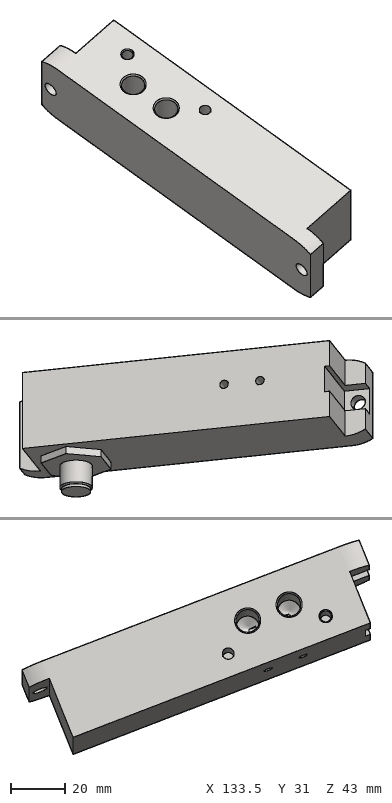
import cadquery as cq
import math

length = 133.5
depth = 31.0
height = 30.0
half_length = length / 2
half_height = height / 2

left_tab_length = 7.7
right_tab_length = 8.0
left_tab_thickness = 10.1
right_tab_thickness = 7.1
corner_drop = 2.0
mount_hole_diameter = 5.5
mount_hole_inset = 4.4

slot_height = 10.0
slot_front = 4.5
slot_depth_in_block = 1.9

port_centers_x = (-33.6, -17.2)
port_y = 13.6
port_diameter = 8.5
port_chamfer = 0.5
port_depth = 12.0
port_tip_angle = 118.0

channel_diameter = 3.2
channel_end_y = 14.0
channel_shift = 1.3

left_pin_hole_diameter = 4.1
right_pin_hole_diameter = 4.3
pin_hole_y = 22.5
pin_hole_depth = 8.0
left_pin_hole_x = -44.6
right_pin_hole_x = -6.0
pin_hole_chamfer = 0.4

connector_x = 42.7
connector_y = 15.2
nut_across_flats = 23.0
nut_thickness = 2.8
plug_diameter = 12.0
plug_length = 8.5
plug_chamfer = 0.5
plug_tip_diameter = 10.8
connector_length = 13.0


def make_tab(end_x, inner_x, thickness):
    """Tab from the block end at inner_x to end_x, with corners rounded tangent to the block."""
    run = abs(end_x - inner_x)
    radius = (run**2 + corner_drop**2) / (2 * corner_drop)
    half_angle = math.asin(run / radius) / 2
    direction = math.copysign(1, end_x)
    mid_x = inner_x + direction * radius * math.sin(half_angle)
    mid_z = half_height - radius * (1 - math.cos(half_angle))
    end_z = half_height - corner_drop
    return (
        cq.Workplane("XZ")
        .moveTo(inner_x, half_height)
        .threePointArc((mid_x, mid_z), (end_x, end_z))
        .lineTo(end_x, -end_z)
        .threePointArc((mid_x, -mid_z), (inner_x, -half_height))
        .close()
        .extrude(-thickness)
    )


def make_box(x_range, y_range, z_range):
    """Box between the given pairs of limits."""
    sizes = [limits[1] - limits[0] for limits in (x_range, y_range, z_range)]
    corner = (x_range[0], y_range[0], z_range[0])
    return cq.Workplane("XY").box(*sizes, centered=False).translate(corner)


def make_hole(x, y, diameter, hole_depth, chamfer=0.0, tip_depth=0.0):
    """Blind hole cutter from the top face, with an optional 45 degree chamfer and conical tip."""
    radius = diameter / 2
    down = cq.Vector(0, 0, -1)
    bottom = cq.Vector(x, y, half_height - hole_depth)
    cutter = cq.Workplane("XY", origin=bottom.toTuple()).circle(radius).extrude(hole_depth)
    if chamfer > 0:
        mouth = cq.Vector(x, y, half_height)
        cone = cq.Solid.makeCone(radius + chamfer, radius, chamfer, mouth, down)
        cutter = cutter.union(cq.Workplane(cone))
    if tip_depth > 0:
        cone = cq.Solid.makeCone(radius, 0, tip_depth, bottom, down)
        cutter = cutter.union(cq.Workplane(cone))
    return cutter


block_left = -half_length + left_tab_length
block_right = half_length - right_tab_length
body = make_box((block_left, block_right), (0, depth), (-half_height, half_height))
body = body.union(make_tab(-half_length, block_left, left_tab_thickness))
body = body.union(make_tab(half_length, block_right, right_tab_thickness))

slot_end = block_left + slot_depth_in_block
slot_limits_z = (-slot_height / 2, slot_height / 2)
body = body.cut(make_box((-half_length, slot_end), (slot_front, depth), slot_limits_z))

for side, thickness in ((-1, left_tab_thickness), (1, right_tab_thickness)):
    hole_x = side * (half_length - mount_hole_inset)
    mount_hole = cq.Workplane("XZ").center(hole_x, 0).circle(mount_hole_diameter / 2).extrude(-thickness)
    body = body.cut(mount_hole)

port_tip_depth = port_diameter / 2 / math.tan(math.radians(port_tip_angle / 2))
channel_z = half_height - port_depth - port_tip_depth + channel_diameter / 2
for port_x, shift in zip(port_centers_x, (channel_shift, -channel_shift)):
    body = body.cut(make_hole(port_x, port_y, port_diameter, port_depth, port_chamfer, port_tip_depth))
    channel = (
        cq.Workplane("XZ", origin=(port_x + shift, channel_end_y, channel_z))
        .circle(channel_diameter / 2)
        .extrude(channel_end_y - depth)
    )
    body = body.cut(channel)

left_pin_hole = make_hole(
    left_pin_hole_x, pin_hole_y, left_pin_hole_diameter, pin_hole_depth, pin_hole_chamfer
)
right_pin_hole = make_hole(right_pin_hole_x, pin_hole_y, right_pin_hole_diameter, pin_hole_depth)
body = body.cut(left_pin_hole).cut(right_pin_hole)

nut_across_corners = nut_across_flats / math.cos(math.radians(30))
connector = (
    cq.Workplane("XY", origin=(connector_x, connector_y, -half_height))
    .transformed(rotate=(0, 0, 90))
    .polygon(6, nut_across_corners)
    .extrude(-nut_thickness)
)
plug_base_z = -half_height - nut_thickness
plug = (
    cq.Workplane("XY", origin=(connector_x, connector_y, plug_base_z))
    .circle(plug_diameter / 2)
    .extrude(-plug_length - plug_chamfer)
    .faces("<Z")
    .chamfer(plug_chamfer)
)
tip = (
    cq.Workplane("XY", origin=(connector_x, connector_y, plug_base_z))
    .circle(plug_tip_diameter / 2)
    .extrude(nut_thickness - connector_length)
)

result = body.union(connector).union(plug).union(tip)